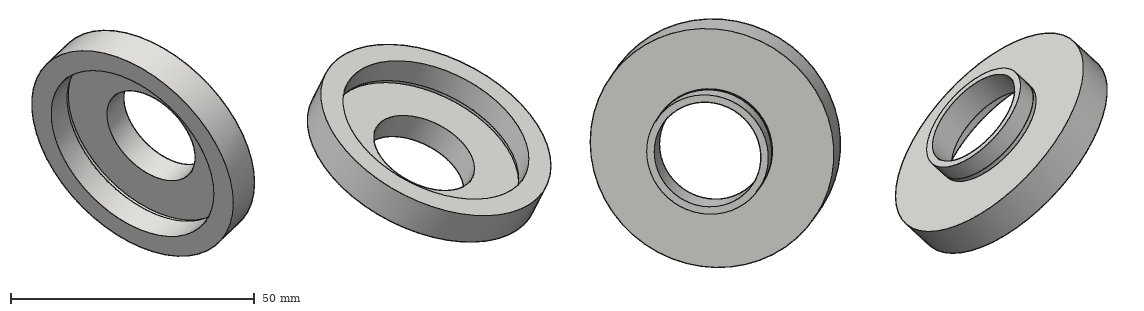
import cadquery as cq

flange_diameter = 50.8
flange_thickness = 7.5
overall_length = 12.5
boss_diameter = 25.35
neck_diameter = 25.25
neck_length = 0.9
bore_diameter = 22.2
recess_diameter = 41.0
recess_depth = 6.5
undercut_diameter = 41.65
undercut_width = 0.9

boss_start = flange_thickness + neck_length


def disc(diameter, start, end):
    """Solid cylinder about the Y axis between two Y positions."""
    plane = cq.Workplane("XZ", origin=(0, start, 0))
    return plane.circle(diameter / 2).extrude(start - end)


body = disc(flange_diameter, 0, flange_thickness)
body = body.union(disc(neck_diameter, 0, boss_start))
body = body.union(disc(boss_diameter, boss_start, overall_length))

body = body.cut(disc(recess_diameter, 0, recess_depth))
body = body.cut(disc(undercut_diameter, recess_depth - undercut_width, recess_depth))
result = body.cut(disc(bore_diameter, 0, overall_length))